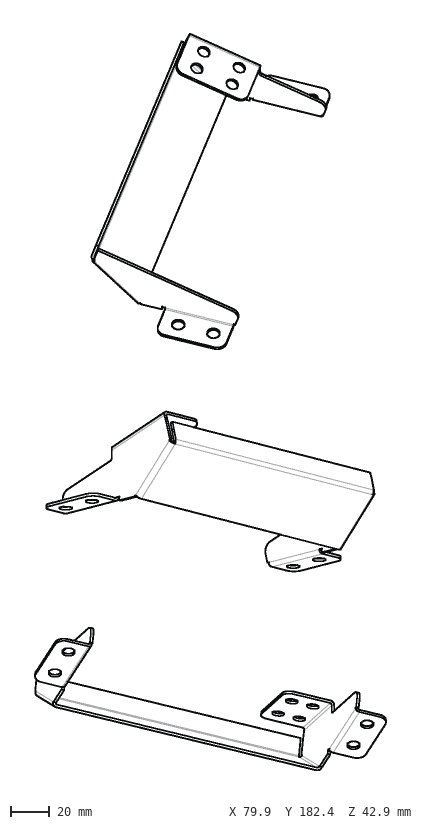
import cadquery as cq
import math

thickness = 1.5
bend_inner = 1.0
bend_outer = bend_inner + thickness
foot_bend_inner = 0.5
foot_bend_outer = foot_bend_inner + thickness
corner_radius = 5.0

half_width = 74.2
overall_half_width = 91.2
web_foot_x = 25.4
lip_lean = math.radians(14.0)
top_slope = math.radians(16.7)

plate_bottom_z = 1.31
plate_left_x = 2.0
plate_top_left = (4.4, 35.7)
nose_lean = math.radians(15.0)
nose_corner_x = 81.0

foot_start_x = 40.7
foot_end_x = 77.5
foot_hole_diameter = 6.5
foot_hole_spacing = 19.0
foot_first_hole = 9.7
foot_hole_edge = 8.8
relief_width = 1.8

tab_corner = (6.65, 42.9)
tab_length = 40.0
tab_depth = 27.0
riser_root_setback = 1.1
tab_hole_diameter = 6.2
tab_hole_spacing = 19.9
tab_first_hole = 10.2
tab_hole_rows = (8.2, 19.9)

lip_top_z = 36.7

diagonal = math.sqrt(0.5)
bend_center_x = bend_outer
bend_center_z = web_foot_x + bend_outer / diagonal - bend_center_x


def bend_point(radius, angle):
    """Point on the web-to-lip bend, with the angle measured up from the -X direction."""
    return (bend_center_x - radius * math.cos(angle), bend_center_z + radius * math.sin(angle))


def top_z(x):
    """Height of the sloping top edge of the side plates."""
    return plate_top_left[1] - (x - plate_top_left[0]) * math.tan(top_slope)


def profile_plane(y):
    """Plane with local axes X and Z, facing -Y."""
    return cq.Workplane("XZ", origin=(0, y, 0))


web_top = bend_point(bend_outer, -math.pi / 4)


def web():
    """Sloping web with a quarter bend along each side, drawn as a shallow channel."""
    plane = cq.Plane(origin=(web_foot_x, 0, 0), xDir=(0, -1, 0), normal=(-1, 0, 1))
    length = math.hypot(web_foot_x - web_top[0], web_top[1])
    flat = half_width - bend_outer
    outer_mid = bend_outer * diagonal
    inner_mid = bend_inner * diagonal
    inner_edge = flat + bend_inner
    return (
        cq.Workplane(plane)
        .moveTo(-flat, 0)
        .lineTo(flat, 0)
        .threePointArc((flat + outer_mid, bend_outer - outer_mid), (half_width, bend_outer))
        .lineTo(inner_edge, bend_outer)
        .threePointArc((flat + inner_mid, bend_outer - inner_mid), (flat, thickness))
        .lineTo(-flat, thickness)
        .threePointArc((-flat - inner_mid, bend_outer - inner_mid), (-inner_edge, bend_outer))
        .lineTo(-half_width, bend_outer)
        .threePointArc((-flat - outer_mid, bend_outer - outer_mid), (-flat, 0))
        .close()
        .extrude(length)
    )


def lip():
    """Leaning lip above the web, joined by its bend."""
    flat = half_width - bend_outer
    middle = (lip_lean - math.pi / 4) / 2
    outer_end = bend_point(bend_outer, lip_lean)
    inner_end = bend_point(bend_inner, lip_lean)
    run = (lip_top_z - outer_end[1]) * math.tan(lip_lean)
    outer_top = (outer_end[0] + run, lip_top_z)
    inner_top = (
        outer_top[0] + thickness * math.cos(lip_lean),
        outer_top[1] - thickness * math.sin(lip_lean),
    )
    return (
        profile_plane(flat)
        .moveTo(*web_top)
        .threePointArc(bend_point(bend_outer, middle), outer_end)
        .lineTo(*outer_top)
        .lineTo(*inner_top)
        .lineTo(*inner_end)
        .threePointArc(bend_point(bend_inner, middle), bend_point(bend_inner, -math.pi / 4))
        .close()
        .extrude(2 * flat)
    )


def side_plate(outer_y):
    """Flat side plate with its +Y face at outer_y."""
    web_bend_sum = web_foot_x + bend_outer / diagonal
    foot_top = plate_bottom_z + foot_bend_outer
    relief_x = foot_start_x - relief_width
    nose_z = top_z(nose_corner_x)
    nose_foot_x = nose_corner_x - (nose_z - foot_top) * math.tan(nose_lean)
    plate = (
        profile_plane(outer_y)
        .polyline([
            (web_bend_sum - plate_bottom_z, plate_bottom_z),
            (relief_x, plate_bottom_z),
            (relief_x, foot_top),
            (nose_foot_x, foot_top),
            (nose_corner_x, nose_z),
            plate_top_left,
            (plate_left_x, web_bend_sum - plate_left_x),
        ])
        .close()
        .extrude(thickness)
    )
    nose = cq.selectors.NearestToPointSelector((nose_corner_x, outer_y - thickness / 2, nose_z))
    return plate.edges(nose).fillet(corner_radius)


def bent_leaf(length, depth, inner_radius, hole_diameter, hole_places):
    """Leaf along local X with its bend turning to +Y at the origin and its length along Z."""
    outer_radius = inner_radius + thickness
    outer_mid = outer_radius * (1 - diagonal)
    inner_mid = outer_radius - inner_radius * diagonal
    leaf = (
        cq.Workplane("XY")
        .moveTo(outer_radius, 0)
        .lineTo(depth, 0)
        .lineTo(depth, thickness)
        .lineTo(outer_radius, thickness)
        .threePointArc((inner_mid, inner_mid), (thickness, outer_radius))
        .lineTo(0, outer_radius)
        .threePointArc((outer_mid, outer_mid), (outer_radius, 0))
        .close()
        .extrude(length)
        .edges("|Y and >X")
        .fillet(corner_radius)
    )
    for across, along in hole_places:
        hole = cq.Workplane("XZ", origin=(across, thickness, along)).circle(hole_diameter / 2)
        leaf = leaf.cut(hole.extrude(thickness))
    return leaf


def foot():
    """Foot turned outward from the bottom of the +Y plate."""
    inner_y = half_width - thickness
    depth = overall_half_width - inner_y
    holes = [
        (depth - foot_hole_edge, foot_first_hole),
        (depth - foot_hole_edge, foot_first_hole + foot_hole_spacing),
    ]
    plane = cq.Plane(origin=(foot_start_x, inner_y, plate_bottom_z), xDir=(0, 1, 0), normal=(1, 0, 0))
    leaf = bent_leaf(foot_end_x - foot_start_x, depth, foot_bend_inner, foot_hole_diameter, holes)
    return cq.Workplane(leaf.val().moved(plane.location))


def upper_tab():
    """Sloping tab turned inward from the top of the +Y plate."""
    holes = [
        (row, tab_first_hole + column * tab_hole_spacing)
        for row in tab_hole_rows
        for column in range(2)
    ]
    slope = (math.cos(top_slope), 0, -math.sin(top_slope))
    plane = cq.Plane(origin=(tab_corner[0], half_width, tab_corner[1]), xDir=(0, -1, 0), normal=slope)
    leaf = bent_leaf(tab_length, tab_depth, bend_inner, tab_hole_diameter, holes)
    return cq.Workplane(leaf.val().moved(plane.location))


def tab_riser():
    """Extension of the +Y plate up to the bend of the tab."""
    left_x = tab_corner[0] - bend_outer * math.sin(top_slope)
    left_z = tab_corner[1] - bend_outer * math.cos(top_slope)
    right_x = left_x + tab_length * math.cos(top_slope)
    right_z = left_z - tab_length * math.sin(top_slope)
    root_end_x = right_x + riser_root_setback * math.cos(top_slope)
    root_z = top_z(right_x)
    overlap = thickness
    return (
        profile_plane(half_width)
        .moveTo(*plate_top_left)
        .lineTo(left_x, left_z)
        .lineTo(right_x, right_z)
        .lineTo(right_x, root_z + riser_root_setback)
        .tangentArcPoint((root_end_x, top_z(root_end_x)), relative=False)
        .lineTo(root_end_x, top_z(root_end_x) - overlap)
        .lineTo(plate_top_left[0] + overlap, top_z(plate_top_left[0] + overlap) - overlap)
        .close()
        .extrude(thickness)
    )


half = side_plate(half_width).union(foot())
frame = web().union(lip()).union(half).union(half.mirror("XZ"))
result = frame.union(tab_riser()).union(upper_tab())